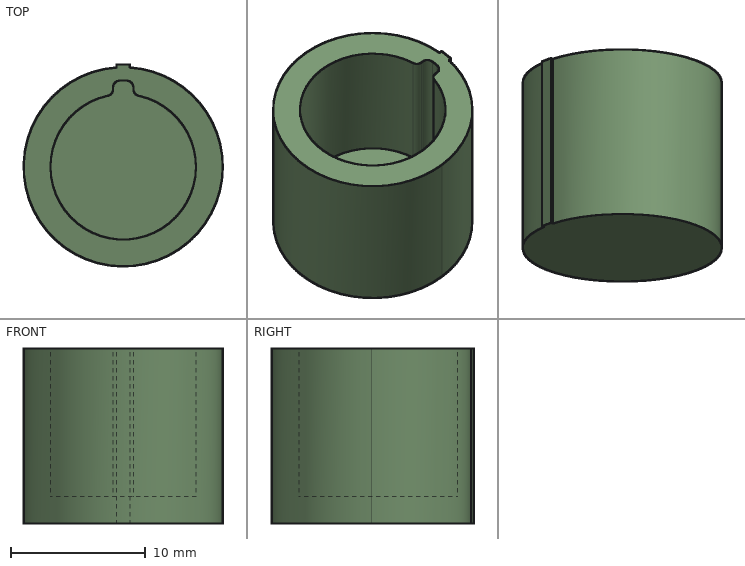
import cadquery as cq

outer_diameter = 14.8
bore_diameter = 10.8
height = 13.0

tab_width = 1.0
tab_tip_y = 7.6

slot_width = 1.5
slot_end_y = 6.4
slot_corner_radius = 0.5
slot_mouth_radius = 0.5

wall_thickness = (outer_diameter - bore_diameter) / 2
floor_thickness = wall_thickness
bore_depth = height - floor_thickness


def key_block(width, tip_y, length):
    """Upright block reaching from the axis out to tip_y along +Y."""
    return cq.Workplane("XY").box(width, tip_y, length, centered=(True, False, False))


def make_body():
    """Cylinder with a full-height locating tab on its +Y side."""
    cylinder = cq.Workplane("XY").circle(outer_diameter / 2).extrude(height)
    return cylinder.union(key_block(tab_width, tab_tip_y, height))


def make_cavity():
    """Blind bore volume with a rounded keyway slot on its +Y side."""
    bore = cq.Workplane("XY").circle(bore_diameter / 2).extrude(bore_depth)
    slot = key_block(slot_width, slot_end_y, bore_depth)
    slot = slot.edges("|Z and >Y").fillet(slot_corner_radius)
    cavity = bore.union(slot)

    half_width = slot_width / 2
    mouth_y = ((bore_diameter / 2) ** 2 - half_width ** 2) ** 0.5
    mouth_edges = cavity.edges(
        cq.selectors.BoxSelector(
            (-slot_width, mouth_y - slot_mouth_radius / 2, 0),
            (slot_width, mouth_y + slot_mouth_radius / 2, bore_depth),
        )
    ).edges("|Z")
    return mouth_edges.fillet(slot_mouth_radius).translate((0, 0, floor_thickness))


result = make_body().cut(make_cavity())